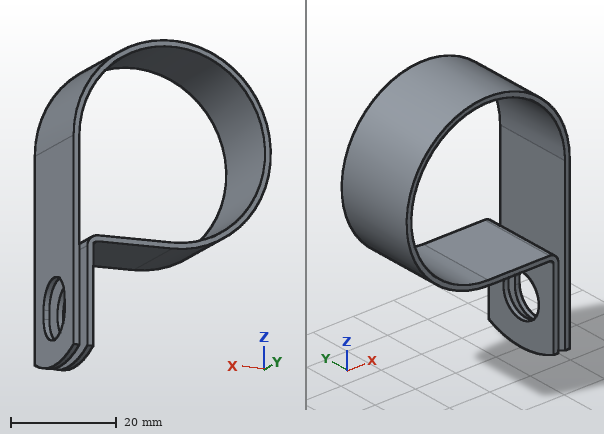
import cadquery as cq
import math

total_height = 63.1
strap_width = 19.05
thickness = 1.2
loop_radius = 20.25
leg_gap = 1.65
bend_radius = 2.2
hole_diameter = 10.35
slot_length = 12.1
hole_height = 11.1
tip_rise = 2.15

inner_radius = loop_radius - thickness
bottom = loop_radius - total_height
short_leg_right = inner_radius - leg_gap
short_leg_left = short_leg_right - thickness
bend_x = short_leg_right - bend_radius
bend_z = -inner_radius - bend_radius
inner_bend_radius = bend_radius - thickness
diagonal = math.sqrt(0.5)


def strap():
    """Bent strip: long leg, three-quarter loop, flat shelf, bend and short leg."""
    return (
        cq.Workplane("XZ")
        .moveTo(loop_radius, bottom)
        .lineTo(loop_radius, 0)
        .threePointArc((-loop_radius * diagonal, loop_radius * diagonal), (0, -loop_radius))
        .lineTo(bend_x, -loop_radius)
        .threePointArc(
            (bend_x + inner_bend_radius * diagonal, bend_z + inner_bend_radius * diagonal),
            (short_leg_left, bend_z),
        )
        .lineTo(short_leg_left, bottom)
        .lineTo(short_leg_right, bottom)
        .lineTo(short_leg_right, bend_z)
        .threePointArc(
            (bend_x + bend_radius * diagonal, bend_z + bend_radius * diagonal),
            (bend_x, -inner_radius),
        )
        .lineTo(0, -inner_radius)
        .threePointArc((-inner_radius * diagonal, inner_radius * diagonal), (inner_radius, 0))
        .lineTo(inner_radius, bottom)
        .close()
        .extrude(strap_width / 2, both=True)
    )


def side_envelope():
    """Strap outline seen along X, with the leg tips rounded by one shallow arc."""
    half_width = strap_width / 2
    return (
        cq.Workplane("YZ")
        .moveTo(-half_width, loop_radius)
        .lineTo(-half_width, bottom + tip_rise)
        .threePointArc((0, bottom), (half_width, bottom + tip_rise))
        .lineTo(half_width, loop_radius)
        .close()
        .extrude(loop_radius, both=True)
    )


def leg_plane(leg_left):
    """Workplane on a leg's left face, centred on the bolt axis."""
    return cq.Workplane("YZ", origin=(leg_left, 0, bottom + hole_height))


def bolt_hole():
    """Round hole through the short leg."""
    return leg_plane(short_leg_left).circle(hole_diameter / 2).extrude(thickness)


def bolt_slot():
    """Slightly taller slot through the long leg, in line with the round hole."""
    return leg_plane(inner_radius).slot2D(slot_length, hole_diameter, 90).extrude(thickness)


result = strap().intersect(side_envelope()).cut(bolt_hole()).cut(bolt_slot())